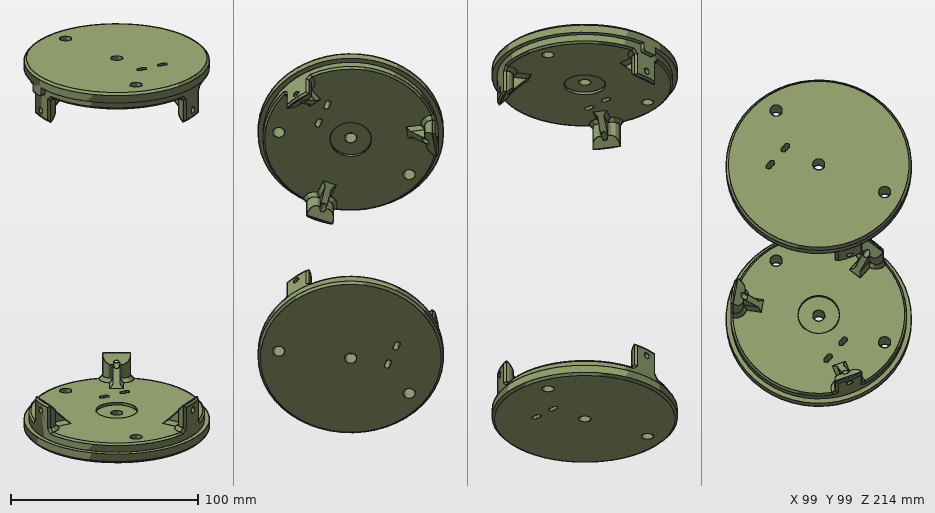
import cadquery as cq
import math

total_height = 214.0
cap_height = 25.0

flange_diameter = 99.0
spigot_diameter = 94.0
flange_height = 5.5
disc_height = 10.5
flange_chamfer = 1.3
rim_chamfer = 1.0

bolt_hole_diameter = 6.5
bolt_hole_x = 37.5
bolt_hole_y = -9.8
recess_diameter = 22.0
recess_depth = 1.5
slot_length = 5.5
slot_width = 2.8
slot_x = 20.0
slot_centers_y = (3.9, 16.5)

tab_angles = (30, 150, 270)
tab_width = 15.0
tab_thickness = 6.6
tab_corner_radius = 4.5
tab_tip_thickness = 2.0
tab_foot_chamfer = 2.0
foot_taper_angle = 45
tab_hole_diameter = 3.5
tab_hole_below_tip = 4.7
rib_width = 3.6

key_angle = 270
key_width = 8.5
key_corner_radius = 1.5

position_tolerance = 0.02

spigot_radius = spigot_diameter / 2
flange_radius = flange_diameter / 2
tab_inner_radius = spigot_radius - tab_thickness
slope_start_radius = spigot_radius - tab_tip_thickness
tab_reach_radius = flange_radius + tab_width
tip_clearance_height = cap_height + tab_tip_thickness
rib_toe_radius = slope_start_radius - (cap_height - disc_height)


def make_blank():
    """Flange with a spigot that is as tall as the tab tips."""
    flange = cq.Workplane("XY").circle(flange_radius).extrude(flange_height)
    flange = flange.faces("<Z").chamfer(flange_chamfer)
    return flange.faces(">Z").workplane().circle(spigot_radius).extrude(cap_height - flange_height)


def tab_block(grow, bottom, height, taper=0):
    """Rounded tab block along +X, its outline enlarged by grow; it reaches past the spigot radius."""
    inner = tab_inner_radius - grow
    outer = tab_reach_radius
    return (
        cq.Workplane("XY")
        .workplane(offset=bottom)
        .center((inner + outer) / 2, 0)
        .sketch()
        .rect(outer - inner, tab_width + 2 * grow)
        .vertices("<X")
        .fillet(tab_corner_radius + grow)
        .finalize()
        .extrude(height, taper=taper)
    )


def rib_block(grow, bottom, height, taper=0):
    """Straight rib along +X, its width enlarged by grow on both sides."""
    inner = rib_toe_radius - tab_thickness
    outer = tab_reach_radius
    return (
        cq.Workplane("XY")
        .workplane(offset=bottom)
        .center((inner + outer) / 2, 0)
        .rect(outer - inner, rib_width + 2 * grow)
        .extrude(height, taper=taper)
    )


def make_tab():
    """Tab and rib along +X with a 45 degree slope inside; it runs past the blank outside and above."""
    foot = tab_foot_chamfer
    height = tip_clearance_height - flange_height
    tab = tab_block(0, flange_height, height).union(rib_block(0, flange_height, height))
    tab = tab.union(tab_block(foot, disc_height, foot, taper=foot_taper_angle))
    tab = tab.union(rib_block(foot, disc_height, foot, taper=foot_taper_angle))
    slope = (
        cq.Workplane("XZ")
        .moveTo(rib_toe_radius, flange_height)
        .lineTo(rib_toe_radius, disc_height)
        .lineTo(slope_start_radius, cap_height)
        .lineTo(slope_start_radius, tip_clearance_height)
        .lineTo(flange_radius, tip_clearance_height)
        .lineTo(flange_radius, flange_height)
        .close()
        .extrude(tab_width, both=True)
    )
    return tab.intersect(slope)


def make_waste():
    """Space above the disc, with the tabs left out of it."""
    waste = (
        cq.Workplane("XY")
        .workplane(offset=disc_height)
        .circle(flange_radius)
        .extrude(tip_clearance_height - disc_height)
    )
    tab = make_tab()
    for angle in tab_angles:
        waste = waste.cut(tab.rotate((0, 0, 0), (0, 0, 1), angle))
    return waste


def chamfer_rim(cap):
    """Chamfer the edge that runs round the spigot and up and over the outside of each tab."""
    rim_edges = [
        edge
        for edge in cap.edges().vals()
        if edge.Center().z > disc_height - position_tolerance
        and all(
            abs(math.hypot(point.x, point.y) - spigot_radius) < position_tolerance
            for point in edge.positions((0, 0.5, 1))
        )
    ]
    return cap.newObject(rim_edges).chamfer(rim_chamfer)


def make_tab_hole():
    """Radial hole through the tip of the tab along +X."""
    return (
        cq.Workplane("YZ")
        .center(0, cap_height - tab_hole_below_tip)
        .circle(tab_hole_diameter / 2)
        .extrude(flange_radius)
    )


def cut_disc_holes(cap):
    """Bolt holes, central recess and the two slots."""
    bolt_points = [(0, 0), (-bolt_hole_x, bolt_hole_y), (bolt_hole_x, bolt_hole_y)]
    bolt_holes = (
        cq.Workplane("XY")
        .pushPoints(bolt_points)
        .circle(bolt_hole_diameter / 2)
        .extrude(disc_height)
    )
    recess = (
        cq.Workplane("XY")
        .workplane(offset=disc_height - recess_depth)
        .circle(recess_diameter / 2)
        .extrude(recess_depth)
    )
    slots = (
        cq.Workplane("XY")
        .pushPoints([(-slot_x, y) for y in slot_centers_y])
        .slot2D(slot_length, slot_width, angle=90)
        .extrude(disc_height)
    )
    return cap.cut(bolt_holes).cut(recess).cut(slots)


def make_base_cap():
    """Cap with its outer face on Z = 0 and its tabs pointing up."""
    cap = chamfer_rim(make_blank().cut(make_waste()))
    tab_hole = make_tab_hole()
    for angle in tab_angles:
        cap = cap.cut(tab_hole.rotate((0, 0, 0), (0, 0, 1), angle))
    return cut_disc_holes(cap)


def make_key():
    """Key beside the spigot, flush with the flange, with rounded corners at its free end."""
    block = (
        cq.Workplane("XY")
        .box(flange_radius, key_width, disc_height, centered=(False, True, False))
        .edges("|X and >Z")
        .fillet(key_corner_radius)
    )
    ring = (
        cq.Workplane("XY")
        .workplane(offset=flange_chamfer)
        .circle(flange_radius)
        .circle(tab_inner_radius)
        .extrude(disc_height - flange_chamfer)
    )
    return block.intersect(ring).rotate((0, 0, 0), (0, 0, 1), key_angle)


def make_lid_cap():
    """The same cap with the key, turned over about Y so that its tabs point down from the top."""
    cap = make_base_cap().union(make_key())
    return cap.rotate((0, 0, 0), (0, 1, 0), 180).translate((0, 0, total_height))


base_cap = make_base_cap()
lid_cap = make_lid_cap()

result = cq.Compound.makeCompound([base_cap.val(), lid_cap.val()])